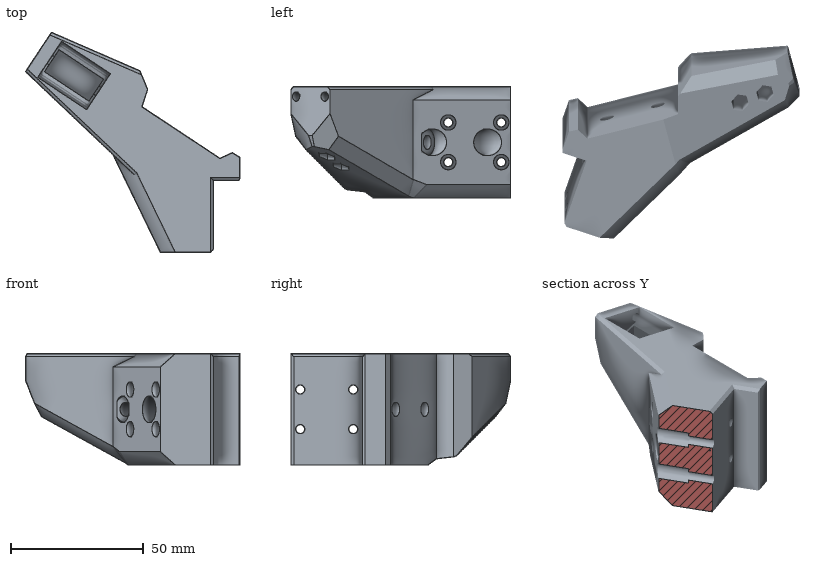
import cadquery as cq
import math


WIDTH = 80.8
DEPTH = 82.9
HEIGHT = 42.0
FAR = 165.7

ARM_ANGLE = 33.5
FLARE_ANGLE = 10.0
END_HALF_WIDTH = 8.9
ARM_SIDE_LENGTH = 59.7
SHOULDER_START_S = 35.8
SHOULDER_CORNER = (42.1, 10.9)
SEAT_T = 4.3
SEAT_START_S = 43.9
SEAT_END_S = 79.1

NOSE_BOTTOM_Z = 23.6
NOSE_FOOT = (1.9, 19.4)
SLOPE_END_S = 49.6
UNDERSIDE_DROP = 5.0
UNDERSIDE_INSET = 4.55
NOSE_CORNER_Z = 31.8
NOSE_FLAT_HALF_WIDTH = 0.8
NOSE_SIDE_S = 4.55

BLOCK_FACE_START = (33.1, 36.5)
BLOCK_FACE_FOOT = (50.8, 0.0)
FACE_OVERLAP = 6.6
BLOCK_RIGHT_X = 70.85
LIP_Y = 27.0
LIP_PEAK = (77.9, 37.5)
LIP_CORNER_Y = 35.7
LIP_CHAMFER_X = 0.4
LIP_CHAMFER_Y = 1.0
FACE_CHAMFER = 5.05
EDGE_CHAMFER = 1.2

SCREW_DIAMETER = 3.3
SCREW_HEAD_DIAMETER = 5.8
SCREW_ROWS_Y = (3.6, 23.5)
SCREW_ROW_HALF_SPACING = 7.45
SCREW_GRIP = 9.95
BOLT_DIAMETER = 5.3
BOLT_HEAD_DIAMETER = 10.0
BOLT_POSITIONS_S = (51.8, 71.6)
BOLT_GRIP = 22.9

POCKET_START_S = 5.05
POCKET_END_S = 27.1
POCKET_HALF_WIDTH = 8.1
LEDGE_ANGLE = 28.0
LEDGE_FLAT_HALF_WIDTH = 1.8
WELL_START_S = 6.0
WELL_END_S = 26.1
WELL_HALF_WIDTH = 5.0
WELL_FLOOR_Z = 28.2
PIN_DIAMETER = 3.3
PIN_T = POCKET_HALF_WIDTH - PIN_DIAMETER / 2
PIN_Z = HEIGHT - 3.7
PIN_TIP_ANGLE = 30.0
NUT_ACROSS_FLATS = 5.9
NUT_POSITIONS_S = (11.2, 20.9)
NUT_CEILING_Z = 21.55

COS_ARM = math.cos(math.radians(ARM_ANGLE))
SIN_ARM = math.sin(math.radians(ARM_ANGLE))
END_CENTRE = (END_HALF_WIDTH * SIN_ARM, DEPTH - END_HALF_WIDTH * COS_ARM)
UNDERSIDE_SLOPE = NOSE_FOOT[1] / (SLOPE_END_S - NOSE_FOOT[0])
PIN_TIP_Z = PIN_Z - PIN_DIAMETER / 2 / math.cos(math.radians(PIN_TIP_ANGLE))


def place(arm_shape):
    """Move a shape from the arm's frame to the part's frame."""
    turned = arm_shape.rotate((0, 0, 0), (0, 0, 1), -ARM_ANGLE)
    return turned.translate((END_CENTRE[0], END_CENTRE[1], 0))


def arm_to_part(s, t):
    """Plan position in the part's frame of a point given in the arm's frame."""
    return (END_CENTRE[0] + s * COS_ARM + t * SIN_ARM, END_CENTRE[1] - s * SIN_ARM + t * COS_ARM)


def part_to_s(x, y):
    """Distance along the arm of a plan position in the part's frame."""
    return (x - END_CENTRE[0]) * COS_ARM - (y - END_CENTRE[1]) * SIN_ARM


def half_width(s):
    """Half of the arm's flared width at distance s."""
    return END_HALF_WIDTH + s * math.tan(math.radians(FLARE_ANGLE))


def underside_z(s):
    """Height of the sloping underside at distance s."""
    return UNDERSIDE_SLOPE * (SLOPE_END_S - s)


def trim(body, a, b, c, kept):
    """Remove everything beyond the plane through a, b and c, on the side away from the point kept."""
    a, b, c, kept = (cq.Vector(*point) for point in (a, b, c, kept))
    normal = (b - a).cross(c - a)
    if normal.dot(kept - a) > 0:
        normal = normal * -1
    beyond = cq.Workplane(cq.Plane(origin=a, normal=normal)).rect(2 * FAR, 2 * FAR).extrude(FAR)
    return body.cut(beyond)


def prism(points):
    """Upright prism of the full height over a plan outline."""
    return cq.Workplane("XY").polyline(points).close().extrude(HEIGHT)


def side_profile():
    """The arm's outline in s and z, extruded right across the part."""
    points = [
        (0, HEIGHT),
        (0, NOSE_BOTTOM_Z),
        NOSE_FOOT,
        (SLOPE_END_S, 0),
        (FAR, 0),
        (FAR, HEIGHT),
    ]
    return cq.Workplane("XZ").polyline(points).close().extrude(FAR / 2, both=True)


def make_arm():
    arm = prism([
        (0, -END_HALF_WIDTH),
        (ARM_SIDE_LENGTH, -half_width(ARM_SIDE_LENGTH)),
        (SEAT_END_S, SEAT_T),
        (SEAT_START_S, SEAT_T),
        SHOULDER_CORNER,
        (SHOULDER_START_S, half_width(SHOULDER_START_S)),
        (0, END_HALF_WIDTH),
    ])
    inside = (SHOULDER_START_S / 2, 0, HEIGHT / 2)
    far_s = SLOPE_END_S
    start, finish = half_width(0), half_width(far_s)
    for side in (-1, 1):
        arm = trim(
            arm,
            (0, side * start, HEIGHT - EDGE_CHAMFER),
            (far_s, side * finish, HEIGHT - EDGE_CHAMFER),
            (0, side * (start - EDGE_CHAMFER), HEIGHT),
            inside,
        )
        arm = trim(
            arm,
            (0, side * start, underside_z(0) + UNDERSIDE_DROP),
            (far_s, side * finish, underside_z(far_s) + UNDERSIDE_DROP),
            (0, side * (start - UNDERSIDE_INSET), underside_z(0)),
            inside,
        )
        arm = trim(
            arm,
            (0, side * start, NOSE_CORNER_Z),
            (0, side * NOSE_FLAT_HALF_WIDTH, NOSE_BOTTOM_Z),
            (
                NOSE_SIDE_S,
                side * half_width(NOSE_SIDE_S),
                underside_z(NOSE_SIDE_S) + UNDERSIDE_DROP,
            ),
            inside,
        )
    return place(arm)


def make_block():
    start, foot = BLOCK_FACE_START, BLOCK_FACE_FOOT
    face_length = math.dist(start, foot)
    inward = ((start[1] - foot[1]) / face_length, (foot[0] - start[0]) / face_length)
    inset = (foot[0] + FACE_CHAMFER * inward[0], foot[1] + FACE_CHAMFER * inward[1])
    hidden_start = (
        start[0] - FACE_OVERLAP * inward[1],
        start[1] + FACE_OVERLAP * inward[0],
    )
    block = prism([
        hidden_start,
        foot,
        (BLOCK_RIGHT_X - EDGE_CHAMFER, 0),
        (BLOCK_RIGHT_X, EDGE_CHAMFER),
        (BLOCK_RIGHT_X, LIP_Y),
        (WIDTH - LIP_CHAMFER_X, LIP_Y),
        (WIDTH, LIP_Y + LIP_CHAMFER_Y),
        (WIDTH, LIP_CORNER_Y),
        LIP_PEAK,
        arm_to_part(SEAT_END_S, SEAT_T),
    ])
    inside = (BLOCK_RIGHT_X, LIP_Y, HEIGHT / 2)

    for edge_z, chamfer_z in ((HEIGHT, HEIGHT - FACE_CHAMFER), (0, FACE_CHAMFER)):
        block = trim(block, (*start, chamfer_z), (*foot, chamfer_z), (*inset, edge_z), inside)

    start_z, foot_z, inset_z = (underside_z(part_to_s(*point)) for point in (start, foot, inset))
    return trim(
        block,
        (*start, start_z + FACE_CHAMFER),
        (*foot, foot_z + FACE_CHAMFER),
        (*inset, inset_z),
        inside,
    )


def corner_bevel():
    """Flaring prism that bevels the top edges of the inner corner between block and lip."""
    low = HEIGHT - EDGE_CHAMFER
    return (
        cq.Workplane("XY", origin=(BLOCK_RIGHT_X, LIP_Y, low))
        .rect(FAR, -FAR, centered=False)
        .workplane(offset=EDGE_CHAMFER)
        .center(-EDGE_CHAMFER, EDGE_CHAMFER)
        .rect(FAR, -FAR, centered=False)
        .loft(ruled=True)
    )


def screw_holes():
    """Counterbored holes along X through the block."""
    places = [
        (y, HEIGHT / 2 + side * SCREW_ROW_HALF_SPACING) for y in SCREW_ROWS_Y for side in (-1, 1)
    ]
    seats = cq.Workplane("YZ").pushPoints(places)
    shanks = seats.circle(SCREW_DIAMETER / 2).extrude(WIDTH)
    heads = seats.circle(SCREW_HEAD_DIAMETER / 2).extrude(BLOCK_RIGHT_X - SCREW_GRIP)
    return shanks.union(heads)


def bolt_holes():
    """Counterbored holes square to the back seat, with the heads entering at the slanted face."""
    places = [(s, HEIGHT / 2) for s in BOLT_POSITIONS_S]
    seats = cq.Workplane("XZ", origin=(0, SEAT_T, 0)).pushPoints(places)
    shanks = seats.circle(BOLT_DIAMETER / 2).extrude(FAR)
    head_plane = cq.Workplane("XZ", origin=(0, SEAT_T - BOLT_GRIP, 0)).pushPoints(places)
    heads = head_plane.circle(BOLT_HEAD_DIAMETER / 2).extrude(FAR)
    return place(shanks.union(heads))


def pocket():
    """Open pocket with sloping ledges around a deeper rectangular well."""
    ledge_fall = (PIN_T - LEDGE_FLAT_HALF_WIDTH) * math.tan(math.radians(LEDGE_ANGLE))
    right_half = [
        (LEDGE_FLAT_HALF_WIDTH, PIN_TIP_Z - ledge_fall),
        (PIN_T, PIN_TIP_Z),
        (PIN_T, PIN_Z),
        (POCKET_HALF_WIDTH, PIN_Z),
        (POCKET_HALF_WIDTH, HEIGHT),
    ]
    left_half = [(-t, z) for t, z in reversed(right_half)]
    opening = (
        cq.Workplane("YZ", origin=(POCKET_START_S, 0, 0))
        .polyline(right_half + left_half).close().extrude(POCKET_END_S - POCKET_START_S)
    )
    well = cq.Workplane("XY").box(
        WELL_END_S - WELL_START_S,
        2 * WELL_HALF_WIDTH,
        HEIGHT - WELL_FLOOR_Z,
        centered=(False, True, False),
    ).translate((WELL_START_S, 0, WELL_FLOOR_Z))
    return place(opening.union(well))


def pin_holes():
    """Two drop-shaped holes from the end face along the sides of the pocket."""
    radius = PIN_DIAMETER / 2
    tangent_t = radius * math.sin(math.radians(PIN_TIP_ANGLE))
    tangent_z = PIN_Z - radius * math.cos(math.radians(PIN_TIP_ANGLE))
    holes = cq.Workplane("YZ")
    for t in (-PIN_T, PIN_T):
        holes = (
            holes.moveTo(t, PIN_TIP_Z)
            .lineTo(t + tangent_t, tangent_z)
            .threePointArc((t, PIN_Z + radius), (t - tangent_t, tangent_z))
            .close()
        )
    return place(holes.extrude(POCKET_END_S))


def nut_recesses():
    """Hexagonal recesses in the sloping underside."""
    hexagons = (
        cq.Workplane("XY")
        .pushPoints([(s, 0) for s in NUT_POSITIONS_S])
        .polygon(6, NUT_ACROSS_FLATS, circumscribed=True)
        .extrude(NUT_CEILING_Z)
    )
    return place(hexagons)


result = make_arm().union(make_block()).intersect(place(side_profile()))
for cutter in (corner_bevel(), screw_holes(), bolt_holes(), pocket(), pin_holes(), nut_recesses()):
    result = result.cut(cutter)